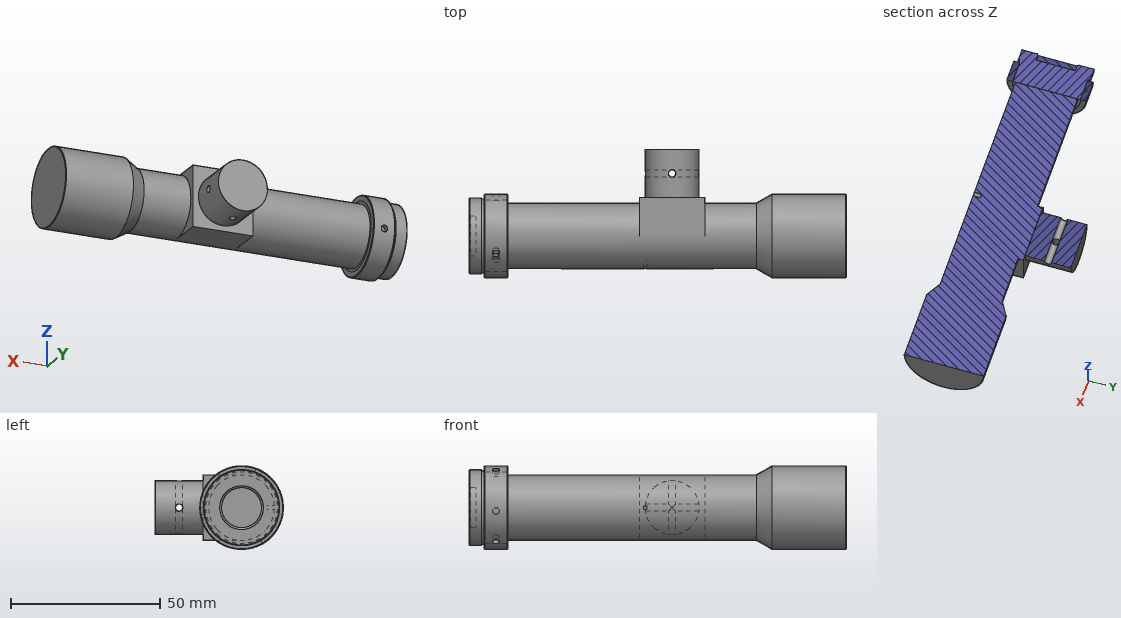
import cadquery as cq

overall_length = 126.4
tube_radius = 11.0
head_radius = 14.0
edge_chamfer = 0.3

flange_radius = 12.8
flange_length = 4.2
neck_radius = 12.4
stem_radius = 12.0

window_radius = 6.7
rim_width = 0.6
rim_depth = 0.5
window_thickness = 1.9

collar_start = 5.0
collar_end = 13.0
screw_hole_diameter = 2.3
screw_hole_count = 3
first_hole_tilt = 25.0
screw_hole_x = (collar_start + collar_end) / 2

flare_start = 96.2
head_start = 101.5

block_size = 2 * tube_radius
block_reach = 12.9
port_x = 68.0
port_diameter = 18.1
port_end = 29.0
cross_hole_diameter = 2.4
cross_hole_y = (block_reach + port_end) / 2

pinhole_x = 59.0
pinhole_diameter = 1.3
pinhole_depth = 2.5


def cylinder_x(start, end, radius):
    """Cylinder on the X axis between two X positions."""
    return cq.Workplane("YZ", origin=(start, 0, 0)).circle(radius).extrude(end - start)


def make_eyepiece():
    flange = cylinder_x(0, flange_length, flange_radius).faces("<X").chamfer(edge_chamfer)
    neck = cylinder_x(flange_length, collar_start, neck_radius)
    stem = cylinder_x(collar_start, collar_end, stem_radius)
    seat = cylinder_x(0, rim_depth + window_thickness, window_radius)
    eyepiece = flange.union(neck).union(stem).cut(seat)
    rim_size = window_radius + rim_width
    rim = (
        cq.Workplane("XY")
        .polyline([(0, 0), (0, rim_size), (rim_depth, window_radius), (rim_depth, 0)])
        .close()
        .revolve(360, (0, 0, 0), (1, 0, 0))
    )
    return eyepiece.cut(rim)


def make_window():
    return cylinder_x(rim_depth, rim_depth + window_thickness, window_radius)


def make_collar():
    collar = (
        cylinder_x(collar_start, collar_end, head_radius)
        .faces("<X or >X")
        .chamfer(edge_chamfer)
        .cut(cylinder_x(collar_start, collar_end, stem_radius))
    )
    drill = (
        cq.Workplane("XY", origin=(screw_hole_x, 0, 0))
        .circle(screw_hole_diameter / 2)
        .extrude(2 * head_radius)
    )
    for index in range(screw_hole_count):
        tilt = first_hole_tilt + index * 360 / screw_hole_count
        collar = collar.cut(drill.rotate((0, 0, 0), (1, 0, 0), tilt))
    return collar


def make_barrel():
    barrel = (
        cq.Workplane("XY")
        .moveTo(collar_end, 0)
        .lineTo(collar_end, tube_radius)
        .lineTo(flare_start, tube_radius)
        .lineTo(head_start, head_radius)
        .lineTo(overall_length - edge_chamfer, head_radius)
        .lineTo(overall_length, head_radius - edge_chamfer)
        .lineTo(overall_length, 0)
        .close()
        .revolve(360, (0, 0, 0), (1, 0, 0))
    )
    block = cq.Workplane("XY", origin=(port_x, block_reach / 2, 0)).box(
        block_size, block_reach, block_size
    )
    pinhole = (
        cq.Workplane("XZ", origin=(pinhole_x, pinhole_depth - tube_radius, 0))
        .circle(pinhole_diameter / 2)
        .extrude(2 * pinhole_depth)
    )
    return barrel.union(block).cut(pinhole)


def make_port():
    port = (
        cq.Workplane("XZ", origin=(port_x, block_reach, 0))
        .circle(port_diameter / 2)
        .extrude(block_reach - port_end)
    )
    center = (port_x, cross_hole_y, 0)
    for plane in ("XY", "YZ"):
        drill = (
            cq.Workplane(plane, origin=center)
            .circle(cross_hole_diameter / 2)
            .extrude(port_diameter, both=True)
        )
        port = port.cut(drill)
    return port


eyepiece = make_eyepiece()
window = make_window()
collar = make_collar()
barrel = make_barrel()
port = make_port()

result = cq.Compound.makeCompound(
    [eyepiece.val(), window.val(), collar.val(), barrel.val(), port.val()]
)